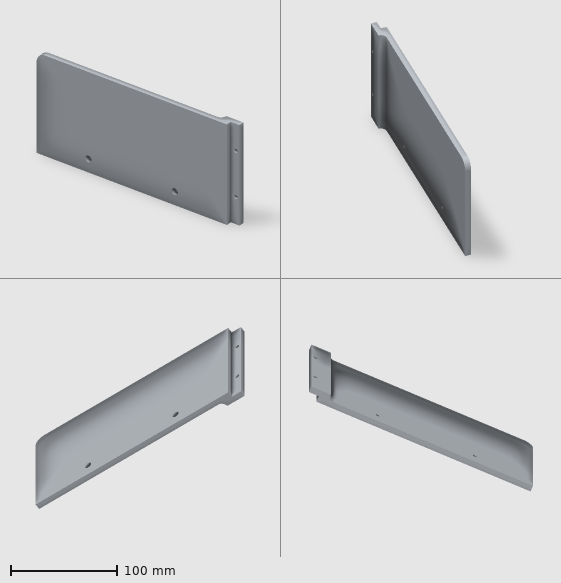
import cadquery as cq

length = 231.0
height = 111.0
plate_thickness = 6.0
corner_radius = 10.0

total_depth = 12.0
flange_width = 19.9
lip_width = 10.5
lip_thickness = 6.0
cove_radius = total_depth - plate_thickness

hole_diameter = 4.2
counterbore_diameter = 7.2
counterbore_depth = 4.0
plate_hole_xs = (60.0, 160.0)
plate_hole_z = 15.0

lip_hole_x = length - 4.2
lip_hole_edge_distance = 30.0
lip_hole_zs = (lip_hole_edge_distance, height - lip_hole_edge_distance)

front_face = cq.Workplane("XZ")


def make_body():
    """Extrude the stepped plan outline, then round the upper left corner."""
    flange_x = length - flange_width
    lip_x = length - lip_width
    lip_front = total_depth - lip_thickness
    body = (
        cq.Workplane("XY")
        .lineTo(lip_x, 0)
        .lineTo(lip_x, lip_front)
        .lineTo(length, lip_front)
        .lineTo(length, total_depth)
        .lineTo(flange_x, total_depth)
        .radiusArc((flange_x - cove_radius, plate_thickness), cove_radius)
        .lineTo(0, plate_thickness)
        .close()
        .extrude(height)
    )
    return body.edges("|Y and <X and >Z").fillet(corner_radius)


def cut_plate_holes(body):
    points = [(x, plate_hole_z) for x in plate_hole_xs]
    return (
        body.copyWorkplane(front_face)
        .pushPoints(points)
        .cboreHole(hole_diameter, counterbore_diameter, counterbore_depth)
    )


def cut_lip_holes(body):
    points = [(lip_hole_x, z) for z in lip_hole_zs]
    return (
        body.copyWorkplane(front_face)
        .pushPoints(points)
        .hole(hole_diameter)
    )


result = cut_lip_holes(cut_plate_holes(make_body()))